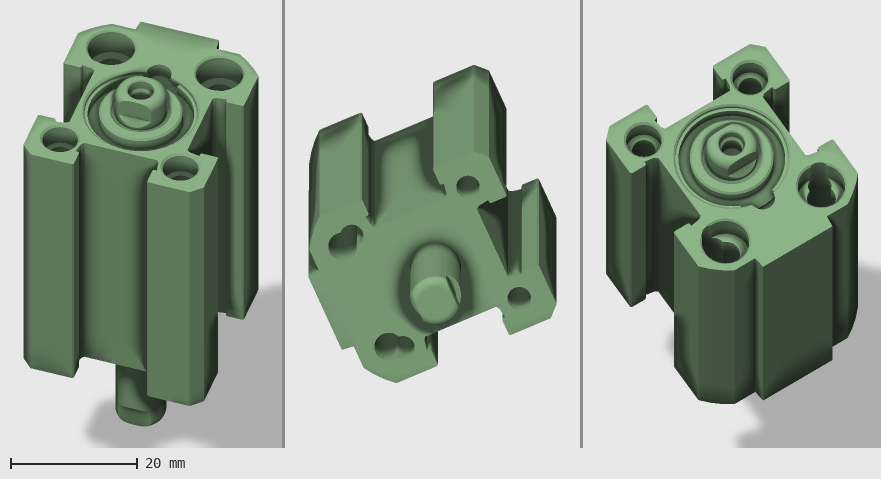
import cadquery as cq
import math

housing_height = 47.0
housing_width = 30.0
housing_depth = 34.0
half_width = housing_width / 2
front_y = -half_width
shoulder_y = 17.05
tab_y = front_y + housing_depth
tab_top_half = 6.5
tab_root_half = 6.75
shoulder_end_x = 10.65
shoulder_low_y = 13.35
shoulder_bulge = 0.18
front_chamfer = 1.8

slot_lip_half = 6.1
slot_undercut_half = 6.75
slot_floor_half = 6.1
slot_lip_thickness = 3.0
slot_corner_half = 6.45
slot_corner_depth = 4.7
slot_floor_depth = 5.2
lip_chamfer = 0.2

bolt_offset = 10.0
bolt_diameter = 3.7
bolt_head_diameter = 5.6
bolt_head_depth = 3.75
bolt_head_chamfer = 0.35
port_x = 9.0
port_y = 12.0
port_diameter = 7.45
port_depth = 4.7
port_chamfer = 0.3
port_hole_diameter = 4.55

seat_diameter = 17.9
seat_chamfer = 0.3
seat_depth = 9.95
ring_outer_diameter = 19.0
ring_inner_diameter = 16.8
ring_top_depth = 0.8
gland_flange_depth = 2.5
ring_left_gap_angle = 16.0
ring_right_gap_angle = 24.0
relief_diameter = 4.0
relief_y = 8.8

collar_diameter = 13.2
collar_edge = 0.32
seal_diameter = 9.2
seal_recess = 0.3
seal_height = 3.0
seal_lip_chamfer = 0.2

rod_diameter = 8.0
rod_top_z = 51.55
rod_length = 71.0
rod_end_fillet = 1.35
flat_half = 3.0
flat_length = 3.55
thread_diameter = 4.1
thread_depth = 1.7
thread_chamfer = 0.2
drill_diameter = 3.3
drill_depth = 5.0
drill_point_angle = 118.0


def cylinder(diameter, bottom_z, top_z):
    """Solid cylinder on the Z axis."""
    return cq.Workplane("XY").workplane(offset=bottom_z).circle(diameter / 2).extrude(top_z - bottom_z)


def tapered_hole(diameter, depth, chamfer, x=0.0, y=0.0, top_z=housing_height):
    """Cutter for a blind hole going down from top_z, with a chamfered mouth."""
    radius = diameter / 2
    section = [
        (0, top_z),
        (radius + chamfer, top_z),
        (radius, top_z - chamfer),
        (radius, top_z - depth),
        (0, top_z - depth),
    ]
    cutter = cq.Workplane("XZ").polyline(section).close().revolve(360, (0, 0, 0), (0, 1, 0))
    return cutter.translate((x, y, 0))


def housing_block():
    """Outer profile of the housing, before its slots and holes."""
    bulge_x = (shoulder_end_x + half_width) / 2 + shoulder_bulge
    bulge_y = (shoulder_y + shoulder_low_y) / 2 + shoulder_bulge
    right_half = (
        cq.Workplane("XY")
        .moveTo(0, front_y)
        .lineTo(half_width - front_chamfer, front_y)
        .lineTo(half_width, front_y + front_chamfer)
        .lineTo(half_width, shoulder_low_y)
        .threePointArc((bulge_x, bulge_y), (shoulder_end_x, shoulder_y))
        .lineTo(tab_root_half, shoulder_y)
        .lineTo(tab_top_half, tab_y)
        .lineTo(0, tab_y)
        .close()
        .extrude(housing_height)
    )
    return right_half.union(right_half.mirror("YZ"))


def slot_cutter(face_distance, angle):
    """Undercut slot opening towards -Y at face_distance, turned about Z by angle."""
    half_section = [
        (slot_lip_half + lip_chamfer, 0),
        (slot_lip_half, lip_chamfer),
        (slot_lip_half, slot_lip_thickness - lip_chamfer),
        (slot_lip_half + lip_chamfer, slot_lip_thickness),
        (slot_undercut_half, slot_lip_thickness),
        (slot_corner_half, slot_corner_depth),
        (slot_floor_half, slot_floor_depth),
    ]
    right = [(x, depth - face_distance) for x, depth in half_section]
    left = [(-x, y) for x, y in reversed(right)]
    cutter = cq.Workplane("XY").polyline(right + left).close().extrude(housing_height)
    return cutter.rotate((0, 0, 0), (0, 0, 1), angle)


def make_housing():
    housing = housing_block()
    housing = housing.cut(slot_cutter(-front_y, 0))
    for angle in (-90, 90):
        housing = housing.cut(slot_cutter(half_width, angle))

    for side in (-1, 1):
        bolt_x = side * bolt_offset
        for bolt_y in (-bolt_offset, bolt_offset):
            bolt_hole = cylinder(bolt_diameter, 0, housing_height).translate((bolt_x, bolt_y, 0))
            housing = housing.cut(bolt_hole)
        housing = housing.cut(
            tapered_hole(bolt_head_diameter, bolt_head_depth, bolt_head_chamfer, bolt_x, -bolt_offset)
        )
        housing = housing.cut(tapered_hole(port_diameter, port_depth, port_chamfer, side * port_x, port_y))
        port_hole = cylinder(port_hole_diameter, 0, housing_height)
        housing = housing.cut(port_hole.translate((side * port_x, port_y, 0)))

    housing = housing.cut(tapered_hole(seat_diameter, seat_depth, seat_chamfer))
    flange_z = housing_height - gland_flange_depth
    housing = housing.cut(cylinder(ring_outer_diameter, flange_z, housing_height - ring_top_depth))
    groove_chamfer = (ring_outer_diameter - seat_diameter) / 2
    flange_height = seat_depth - gland_flange_depth
    housing = housing.cut(tapered_hole(seat_diameter, flange_height, groove_chamfer, top_z=flange_z))
    relief = cylinder(relief_diameter, flange_z, housing_height)
    housing = housing.cut(relief.translate((0, relief_y, 0)))
    return housing.cut(cylinder(rod_diameter, 0, housing_height))


def make_retaining_ring():
    """Open ring in the housing groove, with its gap around +Y."""
    bottom_z = housing_height - gland_flange_depth
    top_z = housing_height - ring_top_depth
    ring = cylinder(ring_outer_diameter, bottom_z, top_z)
    ring = ring.cut(cylinder(ring_inner_diameter, bottom_z, top_z))
    reach = ring_outer_diameter
    left_x = -reach * math.tan(math.radians(ring_left_gap_angle))
    right_x = reach * math.tan(math.radians(ring_right_gap_angle))
    gap = (
        cq.Workplane("XY")
        .workplane(offset=bottom_z)
        .polyline([(0, 0), (right_x, reach), (left_x, reach)])
        .close()
        .extrude(top_z - bottom_z)
    )
    return ring.cut(gap)


def make_gland():
    """Flange under the retaining ring, with a collar around the rod."""
    flange_z = housing_height - gland_flange_depth
    bottom_z = housing_height - seat_depth
    seat_radius = seat_diameter / 2
    collar_radius = collar_diameter / 2
    arc_middle = collar_edge * (1 - math.sqrt(0.5))
    gland = (
        cq.Workplane("XZ")
        .moveTo(0, bottom_z)
        .lineTo(seat_radius, bottom_z)
        .lineTo(seat_radius, flange_z)
        .lineTo(collar_radius + collar_edge, flange_z)
        .threePointArc(
            (collar_radius + arc_middle, flange_z + arc_middle),
            (collar_radius, flange_z + collar_edge),
        )
        .lineTo(collar_radius, housing_height - collar_edge)
        .lineTo(collar_radius - collar_edge, housing_height)
        .lineTo(0, housing_height)
        .close()
        .revolve(360, (0, 0, 0), (0, 1, 0))
    )
    gland = gland.cut(tapered_hole(seal_diameter, seal_recess + seal_height, seal_recess))
    return gland.cut(cylinder(rod_diameter, bottom_z, housing_height))


def make_rod_seal():
    """Seal around the rod, level with the foot of the chamfer at the mouth of the gland bore."""
    top_z = housing_height - seal_recess
    seal = cylinder(seal_diameter, top_z - seal_height, top_z)
    return seal.cut(tapered_hole(rod_diameter, seal_height, seal_lip_chamfer, top_z=top_z))


def flat_cutter(end_z, inward, side):
    """Wrench flat at a rod end with a 45 degree runout; inward is the Z direction into the rod."""
    outer = rod_diameter
    runout = outer - flat_half
    section = [
        (side * flat_half, end_z),
        (side * flat_half, end_z + inward * flat_length),
        (side * outer, end_z + inward * (flat_length + runout)),
        (side * outer, end_z),
    ]
    return cq.Workplane("YZ").polyline(section).close().extrude(rod_diameter, both=True)


def drill_cutter():
    """Drilled hole with a conical point, widening at 45 degrees to the thread diameter."""
    thread_radius = thread_diameter / 2
    drill_radius = drill_diameter / 2
    step_z = rod_top_z - thread_depth
    drill_end_z = rod_top_z - drill_depth
    point_height = drill_radius / math.tan(math.radians(drill_point_angle / 2))
    section = [
        (0, step_z),
        (thread_radius, step_z),
        (drill_radius, step_z - (thread_radius - drill_radius)),
        (drill_radius, drill_end_z),
        (0, drill_end_z - point_height),
    ]
    return cq.Workplane("XZ").polyline(section).close().revolve(360, (0, 0, 0), (0, 1, 0))


def make_rod():
    bottom_z = rod_top_z - rod_length
    rod = cylinder(rod_diameter, bottom_z, rod_top_z).edges().fillet(rod_end_fillet)
    for end_z, inward in ((rod_top_z, -1), (bottom_z, 1)):
        for side in (-1, 1):
            rod = rod.cut(flat_cutter(end_z, inward, side))

    rod = rod.cut(tapered_hole(thread_diameter, thread_depth, thread_chamfer, top_z=rod_top_z))
    return rod.cut(drill_cutter())


housing = make_housing()
retaining_ring = make_retaining_ring()
gland = make_gland()
rod_seal = make_rod_seal()
rod = make_rod()

result = cq.Compound.makeCompound(
    [housing.val(), retaining_ring.val(), gland.val(), rod_seal.val(), rod.val()]
)